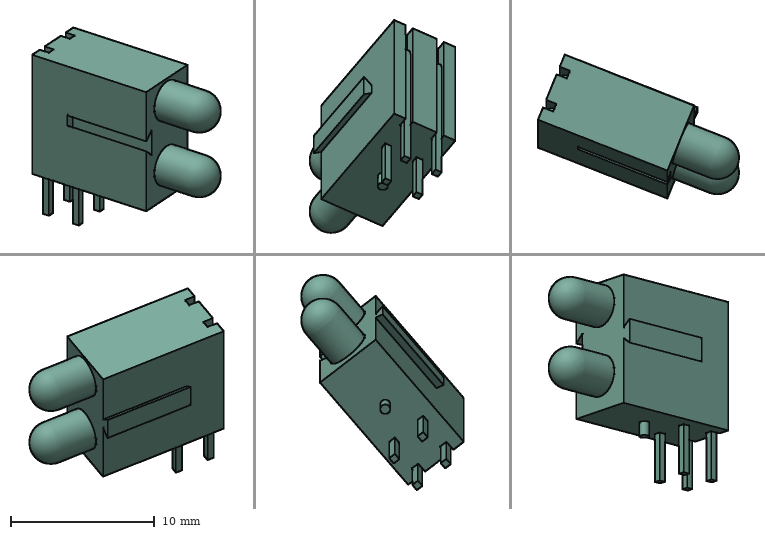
import cadquery as cq

housing_length = 9.7
housing_width = 5.0
housing_height = 9.36

led_radius = 1.5
led_protrusion = 4.25
led_pitch = 5.08
upper_led_z = housing_height - 1.73
lower_led_z = upper_led_z - led_pitch

lead_size = 0.5
lead_back_x = 0.24
lead_row_pitch = led_pitch / 2
lead_spacing = led_pitch / 2
lead_drop = 3.49
bend_outer_radius = 1.0
bend_inner_radius = bend_outer_radius - lead_size
lead_y_positions = (-lead_spacing / 2, lead_spacing / 2)

slot_width = 0.59
slot_depth = lead_back_x + lead_size + 0.03

dovetail_length = 6.7
dovetail_z = housing_height - 4.25
dovetail_root = 0.78
rail_height = 0.63
rail_flare = 0.47
groove_depth = 0.65
groove_flare = 0.57

peg_radius = 0.35
peg_length = 1.0
peg_x = 5.58


def dovetail(base_y, depth, flare):
    """Dovetail bar ending at the front face, widening toward +Y from base_y."""
    half_root = dovetail_root / 2
    half_tip = half_root + flare
    return (
        cq.Workplane("YZ", origin=(housing_length - dovetail_length, base_y, dovetail_z))
        .polyline([(0, -half_root), (depth, -half_tip), (depth, half_tip), (0, half_root)])
        .close()
        .extrude(dovetail_length)
    )


def make_lead(back_x, y, axis_z):
    """Bent lead from below the housing to the flat back of the LED at axis_z."""
    top_z = axis_z + lead_size / 2
    bend_x = back_x + bend_outer_radius
    bend_z = top_z - bend_outer_radius
    return (
        cq.Workplane("XZ", origin=(0, y, 0))
        .moveTo(back_x, -lead_drop)
        .lineTo(back_x, bend_z)
        .radiusArc((bend_x, top_z), bend_outer_radius)
        .lineTo(housing_length, top_z)
        .lineTo(housing_length, top_z - lead_size)
        .lineTo(bend_x, top_z - lead_size)
        .radiusArc((back_x + lead_size, bend_z), -bend_inner_radius)
        .lineTo(back_x + lead_size, -lead_drop)
        .close()
        .extrude(lead_size / 2, both=True)
    )


def make_led(axis_z):
    """Round LED with a hemispherical front end, seated on the front face."""
    return (
        cq.Workplane("XY", origin=(housing_length, 0, axis_z))
        .lineTo(0, led_radius)
        .lineTo(led_protrusion - led_radius, led_radius)
        .radiusArc((led_protrusion, 0), led_radius)
        .close()
        .revolve(360, (0, 0, 0), (1, 0, 0))
    )


def make_housing(leads):
    """Block with rail, groove, peg, back slots and a passage for each lead."""
    body = cq.Workplane("XY").box(
        housing_length, housing_width, housing_height, centered=(False, True, False)
    )
    body = body.union(dovetail(housing_width / 2, rail_height, rail_flare))
    body = body.cut(dovetail(-housing_width / 2, groove_depth, groove_flare))

    peg = cq.Workplane("XY").center(peg_x, 0).circle(peg_radius).extrude(-peg_length)
    body = body.union(peg)

    for y in lead_y_positions:
        slot = (
            cq.Workplane("XY", origin=(0, y, 0))
            .box(slot_depth, slot_width, housing_height, centered=(False, True, False))
        )
        body = body.cut(slot)

    for lead in leads:
        body = body.cut(lead)
    return body


lead_rows = (
    (lead_back_x, upper_led_z),
    (lead_back_x + lead_row_pitch, lower_led_z),
)
leads = [make_lead(back_x, y, axis_z) for back_x, axis_z in lead_rows for y in lead_y_positions]
leds = [make_led(axis_z) for axis_z in (upper_led_z, lower_led_z)]
housing = make_housing(leads)

result = cq.Compound.makeCompound(
    [housing.val(), *[led.val() for led in leds], *[lead.val() for lead in leads]]
)